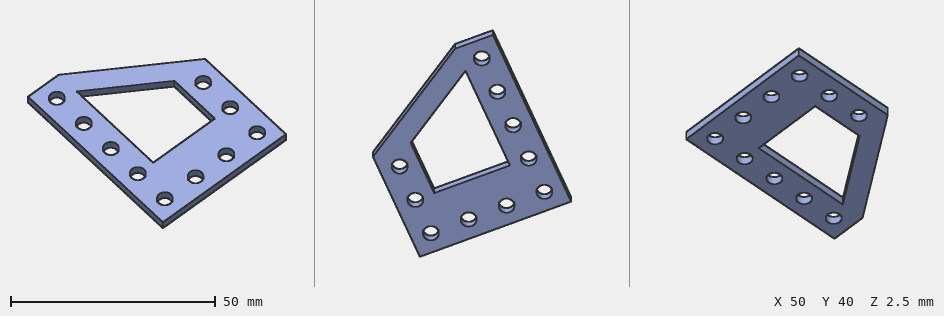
import cadquery as cq

pitch = 10.0
columns = 5
rows = 4
top_holes = 3
thickness = 2.5
hole_diameter = 3.9
right_arm_width = 15.0

length = columns * pitch
width = rows * pitch
slope_top_x = (columns - top_holes) * pitch
slope_bottom_y = pitch
slope_run_per_rise = slope_top_x / (width - slope_bottom_y)

plate = (
    cq.Workplane("XY")
    .polyline([(0, 0), (length, 0), (length, width), (slope_top_x, width), (0, slope_bottom_y)])
    .close()
    .extrude(thickness)
)

window_bottom = pitch
window_top = width - pitch
window_right = length - right_arm_width
window_top_left = slope_top_x
window_bottom_left = window_top_left - (window_top - window_bottom) * slope_run_per_rise

window = (
    cq.Workplane("XY")
    .polyline([
        (window_bottom_left, window_bottom),
        (window_right, window_bottom),
        (window_right, window_top),
        (window_top_left, window_top),
    ])
    .close()
    .extrude(thickness)
)

hole_cells = [(column, 0) for column in range(columns)]
hole_cells += [(columns - 1, row) for row in range(1, rows)]
hole_cells += [(column, rows - 1) for column in range(columns - top_holes, columns - 1)]
hole_centers = [((column + 0.5) * pitch, (row + 0.5) * pitch) for column, row in hole_cells]

holes = cq.Workplane("XY").pushPoints(hole_centers).circle(hole_diameter / 2).extrude(thickness)

result = plate.cut(window).cut(holes)